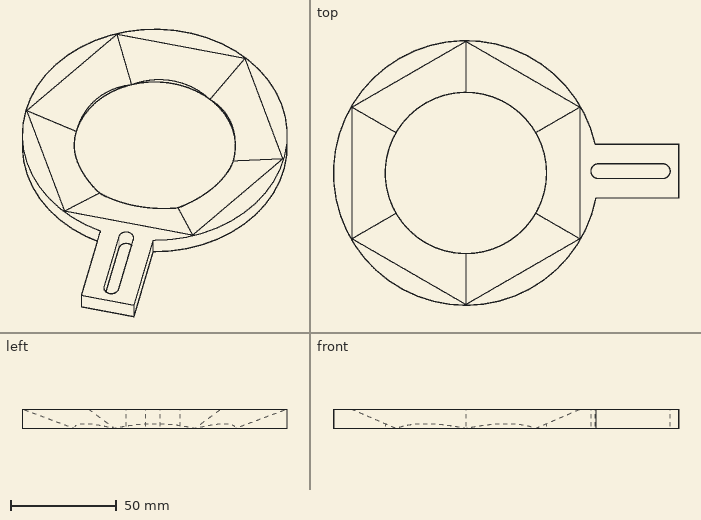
import cadquery as cq

thickness = 9.04
ring_diameter = 125.32
overall_length = 163.42
bore_diameter = 76.2

funnel_corner_diameter = 124.4
funnel_depth = 9.0
hexagon_sides = 6
hexagon_turn = 30

handle_width = 25.6
handle_offset_y = 0.85
slot_length = 37.4
slot_width = 6.9
slot_end_margin = 4.2

handle_end_x = overall_length - ring_diameter / 2
slot_center_x = handle_end_x - slot_end_margin - slot_length / 2


def disc(diameter):
    """Round plate of full thickness on the Z axis."""
    return cq.Workplane("XY").circle(diameter / 2).extrude(thickness)


def handle():
    """Rectangular bar from the ring axis to the free end."""
    return (
        cq.Workplane("XY")
        .center(handle_end_x / 2, handle_offset_y)
        .rect(handle_end_x, handle_width)
        .extrude(thickness)
    )


def slot():
    """Round-ended slot through the handle."""
    return (
        cq.Workplane("XY")
        .center(slot_center_x, handle_offset_y)
        .slot2D(slot_length, slot_width)
        .extrude(thickness)
    )


def funnel():
    """Hexagonal frustum whose small end has its corners on the bore circle."""
    return (
        cq.Workplane("XY", origin=(0, 0, thickness - funnel_depth))
        .polygon(hexagon_sides, bore_diameter)
        .workplane(offset=funnel_depth)
        .polygon(hexagon_sides, funnel_corner_diameter)
        .loft(ruled=True)
        .rotate((0, 0, 0), (0, 0, 1), hexagon_turn)
    )


body = disc(ring_diameter).union(handle())
result = body.cut(slot()).cut(funnel()).cut(disc(bore_diameter))